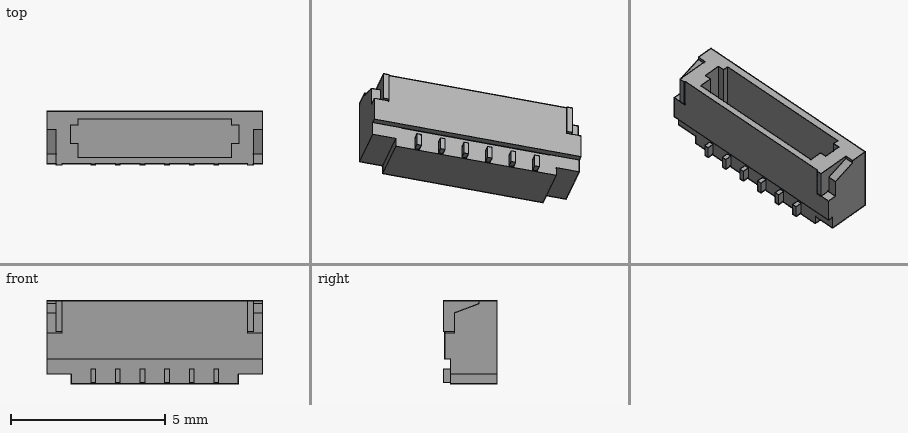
import cadquery as cq

LENGTH = 7.0
DEPTH = 1.75
HEIGHT = 2.7

BODY_DEPTH = 1.71
LOWER_DEPTH = 1.52
LOWER_HEIGHT = 0.8
FOOT_HEIGHT = 0.315
FOOT_INSET = 0.785

CAVITY_END_WALL = 1.0
CAVITY_BACK_WALL = 0.25
CAVITY_WIDTH = 1.245
CAVITY_FLOOR = LOWER_HEIGHT
KEY_END_WALL = 0.77
KEY_BACK_WALL = 0.44
KEY_WIDTH = 0.61

NOTCH_WIDTH = 0.3
NOTCH_BACK = 0.59
NOTCH_STEP = 0.1
NOTCH_SLOPE_BOTTOM = 0.4
NOTCH_FACE = 1.385
NOTCH_DROP = 1.05
RIB_WIDTH = 0.19
RIB_DROP = 1.01

PIN_COUNT = 6
PIN_PITCH = 0.8
PIN_WIDTH = 0.155
PIN_BOTTOM = 0.04
PIN_TOP = 0.48


def block(x_min, x_max, depth_min, depth_max, z_min, z_max):
    """Box between two X limits, two distances from the back face, and two heights."""
    return (
        cq.Workplane("XY")
        .box(x_max - x_min, depth_max - depth_min, z_max - z_min, centered=False)
        .translate((x_min, -depth_max, z_min))
    )


def centred_block(length, depth_min, depth_max, z_min, z_max):
    return block(-length / 2, length / 2, depth_min, depth_max, z_min, z_max)


def make_housing():
    upper = centred_block(LENGTH, 0, BODY_DEPTH, LOWER_HEIGHT, HEIGHT)
    lower = centred_block(LENGTH, 0, LOWER_DEPTH, FOOT_HEIGHT, LOWER_HEIGHT)
    foot = centred_block(LENGTH - 2 * FOOT_INSET, 0, LOWER_DEPTH, 0, FOOT_HEIGHT)
    return upper.union(lower).union(foot)


def make_cavity():
    main = centred_block(
        LENGTH - 2 * CAVITY_END_WALL,
        CAVITY_BACK_WALL, CAVITY_BACK_WALL + CAVITY_WIDTH,
        CAVITY_FLOOR, HEIGHT,
    )
    keys = centred_block(
        LENGTH - 2 * KEY_END_WALL,
        KEY_BACK_WALL, KEY_BACK_WALL + KEY_WIDTH,
        CAVITY_FLOOR, HEIGHT,
    )
    return main.union(keys)


def make_left_notch():
    """Sloped end notch, with the narrow gap that undercuts the rib."""
    sloped = (
        cq.Workplane("YZ", origin=(-LENGTH / 2, 0, 0))
        .moveTo(-NOTCH_BACK, HEIGHT)
        .lineTo(-NOTCH_BACK, HEIGHT - NOTCH_STEP)
        .lineTo(-NOTCH_FACE, HEIGHT - NOTCH_SLOPE_BOTTOM)
        .lineTo(-NOTCH_FACE, HEIGHT - NOTCH_DROP)
        .lineTo(-DEPTH, HEIGHT - NOTCH_DROP)
        .lineTo(-DEPTH, HEIGHT)
        .close()
        .extrude(NOTCH_WIDTH)
    )
    gap_end = -LENGTH / 2 + NOTCH_WIDTH + RIB_WIDTH
    rib_gap = block(
        -LENGTH / 2, gap_end, NOTCH_FACE, DEPTH, HEIGHT - NOTCH_DROP, HEIGHT - RIB_DROP
    )
    return sloped.union(rib_gap)


def make_left_rib():
    rib_start = -LENGTH / 2 + NOTCH_WIDTH
    return block(rib_start, rib_start + RIB_WIDTH, NOTCH_FACE, DEPTH, HEIGHT - RIB_DROP, HEIGHT)


def make_pin(x_centre):
    half_width = PIN_WIDTH / 2
    return block(
        x_centre - half_width, x_centre + half_width, LOWER_DEPTH, DEPTH, PIN_BOTTOM, PIN_TOP
    )


result = make_housing().cut(make_cavity())

left_notch = make_left_notch()
left_rib = make_left_rib()
result = result.cut(left_notch).cut(left_notch.mirror("YZ"))
result = result.union(left_rib).union(left_rib.mirror("YZ"))

for index in range(PIN_COUNT):
    result = result.union(make_pin((index - (PIN_COUNT - 1) / 2) * PIN_PITCH))